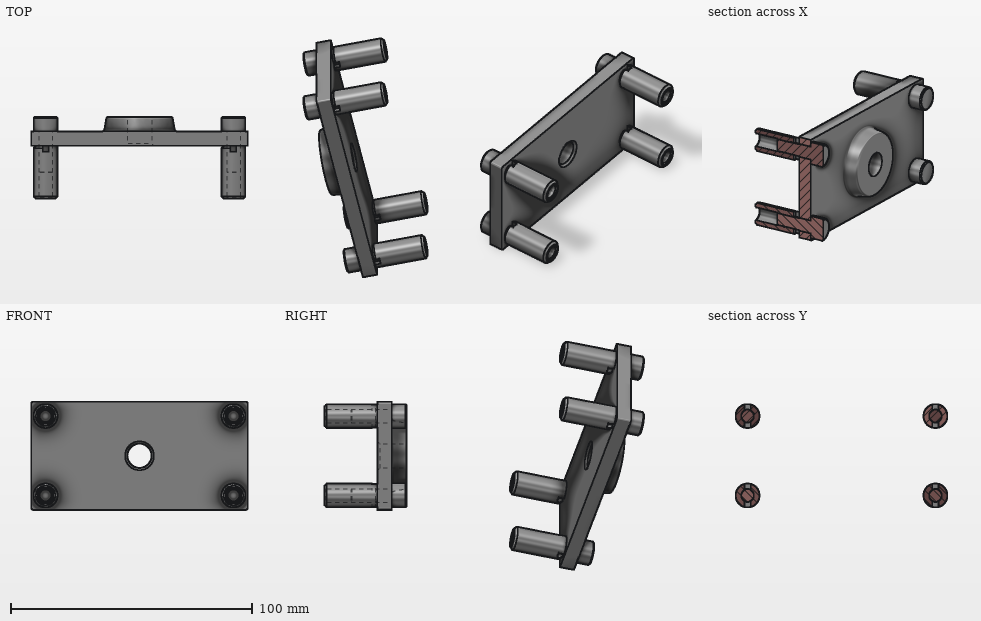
import cadquery as cq

PLATE_LENGTH = 90.0
PLATE_HEIGHT = PLATE_LENGTH / 2
PLATE_THICKNESS = 6.0
CORNER_RADIUS = 1.0
BOSS_BASE_DIAMETER = 29.5
BOSS_TOP_DIAMETER = 27.4
BOSS_HEIGHT = PLATE_THICKNESS
BOSS_EDGE_RADIUS = 1.0
CENTRE_HOLE_DIAMETER = 10.0
CENTRE_HOLE_CHAMFER = 1.0

EDGE_DISTANCE = 6.0
COLUMN_SPACING = PLATE_LENGTH - 2 * EDGE_DISTANCE
ROW_SPACING = PLATE_HEIGHT - 2 * EDGE_DISTANCE

SLEEVE_DIAMETER = 10.0
SLEEVE_LENGTH = 22.0
SLEEVE_TIP_CHAMFER = 1.0
BORE_CHAMFER = 0.5
SLOT_WIDTH = 2.5
SLOT_DEPTH = 2.4
SLOT_EDGE_CHAMFER = 1.0

HEAD_DIAMETER = SLEEVE_DIAMETER
HEAD_LENGTH = BOSS_HEIGHT
HEAD_CHAMFER = 0.5
SHANK_DIAMETER = 5.5
SHANK_REACH = SLEEVE_LENGTH / 2
SHANK_CHAMFER = 0.3

FRONT_FACE = -PLATE_THICKNESS / 2
REAR_FACE = PLATE_THICKNESS / 2


def cylinder_along_y(diameter, y_start, y_end):
    """Cylinder on the Y axis between two Y positions."""
    plane = cq.Plane(origin=(0, y_start, 0), xDir=(1, 0, 0), normal=(0, 1, 0))
    return cq.Workplane(plane).circle(diameter / 2).extrude(y_end - y_start)


def make_boss():
    """Tapered boss turned about the Y axis, with a rounded rim and a filleted foot.

    A disc below the foot reaches the plate's mid-plane and merges into the plate.
    """
    base_radius = BOSS_BASE_DIAMETER / 2
    top_radius = BOSS_TOP_DIAMETER / 2
    flange_radius = base_radius + 2 * BOSS_EDGE_RADIUS
    mid_plane = 0
    boss_top = REAR_FACE + BOSS_HEIGHT
    boss = (
        cq.Workplane("XY")
        .moveTo(0, mid_plane)
        .lineTo(flange_radius, mid_plane)
        .lineTo(flange_radius, REAR_FACE)
        .lineTo(base_radius, REAR_FACE)
        .lineTo(top_radius, boss_top)
        .lineTo(0, boss_top)
        .close()
        .revolve(360, (0, 0), (0, 1))
    )
    foot_and_rim = boss.faces("%CONE").edges("%CIRCLE")
    return foot_and_rim.fillet(BOSS_EDGE_RADIUS)


def make_plate(positions):
    """Plate with its boss, the countersunk centre hole and the screw holes."""
    plate = (
        cq.Workplane("XY")
        .box(PLATE_LENGTH, PLATE_THICKNESS, PLATE_HEIGHT)
        .edges("|Y")
        .fillet(CORNER_RADIUS)
        .union(make_boss())
        .cut(cylinder_along_y(CENTRE_HOLE_DIAMETER, FRONT_FACE, REAR_FACE + BOSS_HEIGHT))
    )
    hole_radius = CENTRE_HOLE_DIAMETER / 2
    countersink = cq.Solid.makeCone(
        hole_radius + CENTRE_HOLE_CHAMFER,
        hole_radius,
        CENTRE_HOLE_CHAMFER,
        pnt=cq.Vector(0, FRONT_FACE, 0),
        dir=cq.Vector(0, 1, 0),
    )
    plate = plate.cut(cq.Workplane(countersink))
    screw_hole = cylinder_along_y(SHANK_DIAMETER, FRONT_FACE, REAR_FACE)
    for x, z in positions:
        plate = plate.cut(screw_hole.translate((x, 0, z)))
    return plate


def make_screw():
    """Screw on the Y axis: round chamfered head and plain shank."""
    head = cylinder_along_y(HEAD_DIAMETER, REAR_FACE, REAR_FACE + HEAD_LENGTH)
    head = head.faces(">Y").chamfer(HEAD_CHAMFER)
    shank = cylinder_along_y(SHANK_DIAMETER, FRONT_FACE - SHANK_REACH, REAR_FACE)
    shank = shank.faces("<Y").chamfer(SHANK_CHAMFER)
    return head.union(shank)


def make_sleeve():
    """Sleeve on the Y axis: through bore, chamfered tip, slot across the seated end."""
    tip = FRONT_FACE - SLEEVE_LENGTH
    sleeve = cylinder_along_y(SLEEVE_DIAMETER, tip, FRONT_FACE)
    sleeve = sleeve.faces("<Y").chamfer(SLEEVE_TIP_CHAMFER)
    sleeve = sleeve.cut(cylinder_along_y(SHANK_DIAMETER, tip, FRONT_FACE))
    sleeve = sleeve.faces("<Y").edges(cq.selectors.RadiusNthSelector(0)).chamfer(BORE_CHAMFER)
    slot = cq.Workplane("XY").box(SLOT_WIDTH, 2 * SLOT_DEPTH, 2 * SLEEVE_DIAMETER)
    sleeve = sleeve.cut(slot.translate((0, FRONT_FACE, 0)))
    slot_rims = sleeve.faces(">Y").edges("%CIRCLE").edges(cq.selectors.RadiusNthSelector(-1))
    return slot_rims.edges("<X").chamfer(SLOT_EDGE_CHAMFER)


fastener_positions = [
    (side * COLUMN_SPACING / 2, row * ROW_SPACING / 2)
    for side in (-1, 1)
    for row in (-1, 1)
]
plate = make_plate(fastener_positions)
screws = [make_screw().translate((x, 0, z)) for x, z in fastener_positions]
sleeves = [make_sleeve().translate((x, 0, z)) for x, z in fastener_positions]

result = cq.Compound.makeCompound([
    plate.solids().val(),
    *[screw.solids().val() for screw in screws],
    *[sleeve.solids().val() for sleeve in sleeves],
])